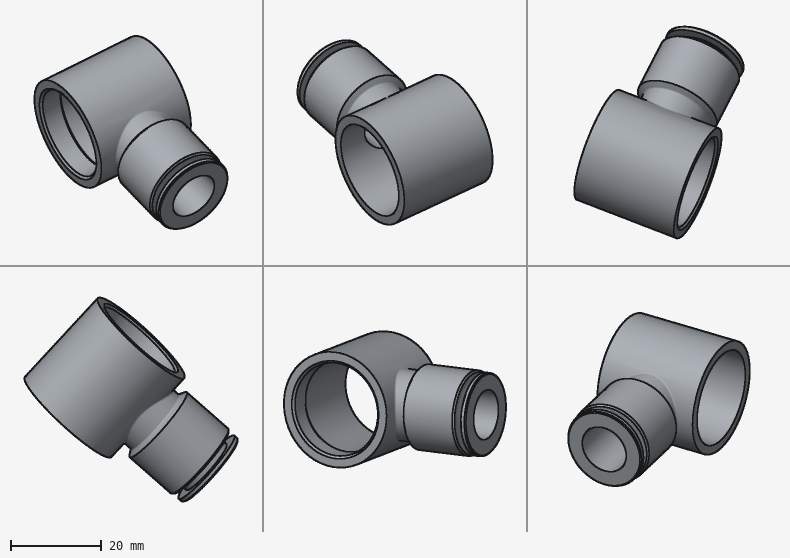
import cadquery as cq
import math

total_length = 44.4
ring_radius = 13.0
ring_width = 24.0

land_radius = 10.5
land_depth = 5.25
relief_radius = 10.92
mouth_radius = 11.0
mouth_chamfer = mouth_radius - land_radius
relief_taper = relief_radius - land_radius

port_radius = 5.55
neck_radius = 8.0
body_radius = 9.55
groove_radius = 6.75
end_lip_radius = 7.95
collar_radius = 9.3

branch_end = total_length - ring_radius
body_start = 15.9
body_end = 28.6
groove_start = 28.85
collar_start = 30.25

body_chamfer = 0.4
collar_chamfer = 0.25
root_fillet = 0.45
shoulder_fillet = 0.45
shoulder_angle = math.radians(60)

shoulder_start = body_start - (body_radius - neck_radius) / math.tan(shoulder_angle)


def y_cylinder(radius, width):
    """Cylinder on the Y axis, centred on the origin."""
    return cq.Workplane("XZ").circle(radius).extrude(width / 2, both=True)


def make_neck():
    """Plain neck rising from the middle of the ring."""
    return cq.Workplane("YZ").circle(neck_radius).extrude(shoulder_start)


def make_head():
    """Revolved branch with its shoulder, socket body, groove and release collar."""
    fillet_reach = shoulder_fillet * math.tan(shoulder_angle / 2)
    fillet_start = shoulder_start - fillet_reach
    arc_middle = (
        fillet_start + shoulder_fillet * math.sin(shoulder_angle / 2),
        neck_radius + shoulder_fillet * (1 - math.cos(shoulder_angle / 2)),
    )
    arc_end = (
        fillet_start + shoulder_fillet * math.sin(shoulder_angle),
        neck_radius + shoulder_fillet * (1 - math.cos(shoulder_angle)),
    )
    return (
        cq.Workplane("XY")
        .moveTo(fillet_start, 0)
        .lineTo(fillet_start, neck_radius)
        .threePointArc(arc_middle, arc_end)
        .lineTo(body_start, body_radius)
        .lineTo(body_end - body_chamfer, body_radius)
        .lineTo(body_end, body_radius - body_chamfer)
        .lineTo(body_end, end_lip_radius)
        .lineTo(groove_start, groove_radius)
        .lineTo(collar_start, groove_radius)
        .lineTo(collar_start, collar_radius)
        .lineTo(branch_end - collar_chamfer, collar_radius)
        .lineTo(branch_end, collar_radius - collar_chamfer)
        .lineTo(branch_end, 0)
        .close()
        .revolve(360, (0, 0, 0), (1, 0, 0))
    )


def make_ring_bore():
    """Bore with a chamfered front mouth and a 45 degree step out to the relief."""
    front = -ring_width / 2
    back = ring_width / 2
    land_end = front + land_depth
    return (
        cq.Workplane("XY")
        .moveTo(0, front)
        .lineTo(mouth_radius, front)
        .lineTo(land_radius, front + mouth_chamfer)
        .lineTo(land_radius, land_end)
        .lineTo(relief_radius, land_end + relief_taper)
        .lineTo(relief_radius, back)
        .lineTo(0, back)
        .close()
        .revolve(360, (0, 0, 0), (0, 1, 0))
    )


body = y_cylinder(ring_radius, ring_width).union(make_neck())
root_zone = cq.selectors.BoxSelector(
    (0, -neck_radius, -neck_radius),
    (shoulder_start - root_fillet, neck_radius, neck_radius),
)
body = body.edges(root_zone).edges("not %CIRCLE").edges("not %LINE").fillet(root_fillet)
body = body.union(make_head())

port = cq.Workplane("YZ").circle(port_radius).extrude(branch_end)
result = body.cut(make_ring_bore()).cut(port)